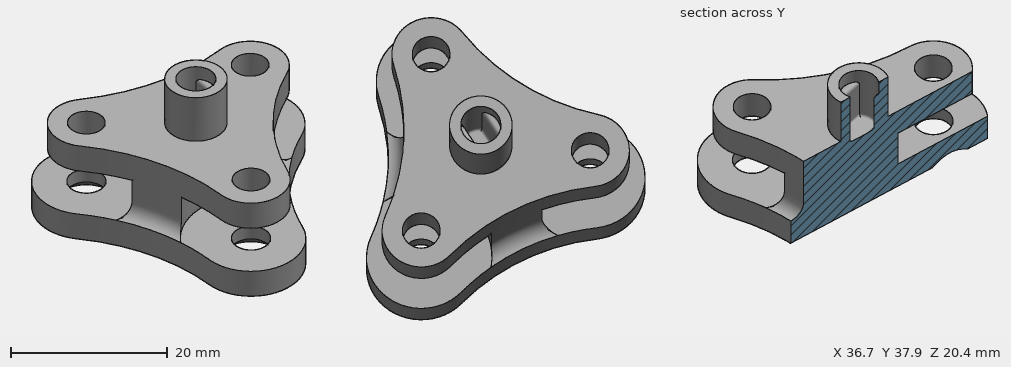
import cadquery as cq
import math

lobe_count = 3
lobe_spacing = 360 / lobe_count
first_lobe_angle = 9.6
lobe_distance = 14.0
lobe_radius = 7.0
plate_inset = 2.0
waist_distance = 11.85

plate_thickness = 4.0
plate_gap = 5.38
boss_height = 6.97
upper_bottom = plate_thickness + plate_gap
upper_top = upper_bottom + plate_thickness
boss_top = upper_top + boss_height

upper_hole_diameter = 4.8
lower_hole_diameter = 5.0
sink_depth = 2.0

clearance_radius = 9.0
core_fillet = plate_inset
fillet_overlap = 1.15

boss_diameter = 8.0
bore_diameter = 5.1
bore_depth = 2.0
socket_depth = 8.0
socket_width = 3.0
socket_angle = 14.5
entry_round = 0.5
floor_fillet = 0.35

half_spacing = math.radians(lobe_spacing / 2)
lobe_along = lobe_distance * math.cos(half_spacing)
lobe_across = lobe_distance * math.sin(half_spacing)
tangent_offset = waist_distance - lobe_radius
side_arc_distance = (lobe_distance**2 - tangent_offset**2) / (2 * (lobe_along - tangent_offset))
side_arc_radius = side_arc_distance - waist_distance
tangent_angle = math.degrees(math.atan2(lobe_across, side_arc_distance - lobe_along))

lobe_angles = [first_lobe_angle + i * lobe_spacing for i in range(lobe_count)]


def polar(radius, angle, origin=(0, 0)):
    """Point at a radius and an angle in degrees from an origin."""
    turn = math.radians(angle)
    return (origin[0] + radius * math.cos(turn), origin[1] + radius * math.sin(turn))


lobe_centers = [polar(lobe_distance, angle) for angle in lobe_angles]


def lobed_plate(inset, bottom, height):
    """Plate with round lobes joined by concave arcs."""
    radius = lobe_radius - inset
    half_sweep = lobe_spacing / 2 + tangent_angle
    outline = cq.Workplane("XY").workplane(offset=bottom)
    outline = outline.moveTo(*polar(radius, lobe_angles[0] - half_sweep, lobe_centers[0]))
    for i, angle in enumerate(lobe_angles):
        center = lobe_centers[i]
        next_center = lobe_centers[(i + 1) % lobe_count]
        next_start = angle + lobe_spacing - half_sweep
        outline = outline.threePointArc(
            polar(radius, angle, center), polar(radius, angle + half_sweep, center)
        )
        outline = outline.threePointArc(
            polar(waist_distance - inset, angle + lobe_spacing / 2),
            polar(radius, next_start, next_center),
        )
    return outline.close().extrude(height)


def side_fillet(angle):
    """Concave fillet at the foot of one side of the core, reaching the edge of the lower plate."""
    diagonal = core_fillet * math.sqrt(0.5)
    fillet_top = plate_thickness + core_fillet
    wall_radius = side_arc_radius + core_fillet
    profile = (
        cq.Workplane("XZ")
        .moveTo(side_arc_radius, plate_thickness)
        .threePointArc(
            (side_arc_radius + diagonal, fillet_top - diagonal),
            (wall_radius, fillet_top),
        )
        .lineTo(wall_radius + fillet_overlap, fillet_top)
        .lineTo(wall_radius + fillet_overlap, plate_thickness)
        .close()
    )
    sweep = 2 * tangent_angle
    ring = profile.revolve(sweep, (0, 0), (0, 1))
    start_angle = angle + 180 - tangent_angle
    x, y = polar(side_arc_distance, angle)
    return ring.rotate((0, 0, 0), (0, 0, 1), start_angle).translate((x, y, 0))


def core():
    """Three-sided column between the plates, cut back around every lobe hole."""
    body = lobed_plate(plate_inset, plate_thickness, plate_gap)
    for angle in lobe_angles:
        body = body.union(side_fillet(angle + lobe_spacing / 2))
    clearances = (
        cq.Workplane("XY")
        .workplane(offset=plate_thickness)
        .pushPoints(lobe_centers)
        .circle(clearance_radius)
        .extrude(plate_gap)
    )
    return body.cut(clearances)


def lobe_hole(center):
    """Hole through both plates, wider in the lower one, with a conical sink in the underside."""
    upper_radius = upper_hole_diameter / 2
    lower_radius = lower_hole_diameter / 2
    profile = (
        cq.Workplane("XZ")
        .lineTo(lower_radius + sink_depth, 0)
        .lineTo(lower_radius, sink_depth)
        .lineTo(lower_radius, upper_bottom)
        .lineTo(upper_radius, upper_bottom)
        .lineTo(upper_radius, upper_top)
        .lineTo(0, upper_top)
        .close()
    )
    return profile.revolve(360, (0, 0), (0, 1)).translate((*center, 0))


def shaft_socket():
    """Round bore leading into a narrower socket with two flat walls."""
    shelf = boss_top - bore_depth
    floor = boss_top - socket_depth
    half_width = socket_width / 2
    bore = cq.Workplane("XY").workplane(offset=floor).circle(bore_diameter / 2).extrude(socket_depth)
    bore = bore.faces("<Z").edges().fillet(floor_fillet)
    half_section = (
        cq.Workplane("YZ")
        .moveTo(0, floor)
        .lineTo(half_width - floor_fillet, floor)
        .radiusArc((half_width, floor + floor_fillet), -floor_fillet)
        .lineTo(half_width, shelf - entry_round)
        .radiusArc((half_width + entry_round, shelf), entry_round)
        .lineTo(bore_diameter, shelf)
        .lineTo(bore_diameter, boss_top)
        .lineTo(0, boss_top)
        .close()
        .extrude(bore_diameter, both=True)
    )
    section = half_section.union(half_section.mirror("XZ"))
    return bore.intersect(section).rotate((0, 0, 0), (0, 0, 1), socket_angle)


lower_plate = lobed_plate(0, 0, plate_thickness)
upper_plate = lobed_plate(plate_inset, upper_bottom, plate_thickness)
boss = cq.Workplane("XY").workplane(offset=upper_top).circle(boss_diameter / 2).extrude(boss_height)

result = lower_plate.union(core()).union(upper_plate).union(boss)
for lobe_center in lobe_centers:
    result = result.cut(lobe_hole(lobe_center))
result = result.cut(shaft_socket())